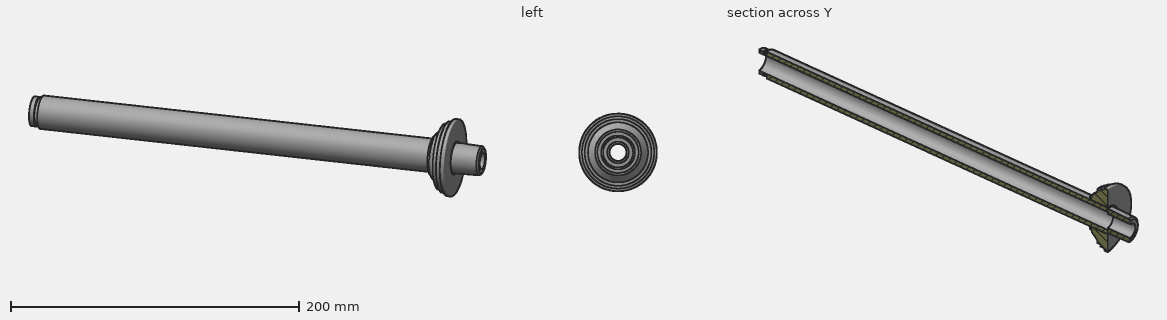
import cadquery as cq

TOTAL_LENGTH = 326.0
SEAL_START = 3.5
SHOULDER = 6.5
COLLAR_START = 290.0
FLANGE_START = 292.0
FLANGE_BACK = 306.5

BORE_RADIUS = 7.5
INLET_BORE_RADIUS = 6.0
OUTLET_RADIUS = 10.5
TUBE_RADIUS = 11.7
COLLAR_RADIUS = 14.5

SEAL_LENGTH = SHOULDER - SEAL_START
SEAL_INNER_RADIUS = OUTLET_RADIUS - SEAL_LENGTH / 2

INLET_ROOT_RADIUS = 10.8
INLET_TAPER = 0.5
INLET_TIP_RADIUS = INLET_ROOT_RADIUS - INLET_TAPER
INLET_CHAMFER = 1.3

COLLAR_ROUND = 1.0
CONE_TIP_RADIUS = 16.0
CONE_BASE_RADIUS = 21.0

RIM_RADIUS = 27.0
RIM_ROUND = 0.5
STEP_HEIGHT = 2.0
STEP_STARTS = (297.0, 300.0, 303.2)
STEP_ROUND = 1.0


def turned(points):
    """Solid of revolution about X from straight-sided (x, radius) points."""
    return cq.Workplane("XY").polyline(points).close().revolve(360, (0, 0, 0), (1, 0, 0))


def make_tube():
    """Bored tube whose outlet end is turned down to a short nipple with a groove for the seal ring."""
    return turned(
        [
            (0, BORE_RADIUS),
            (FLANGE_BACK, BORE_RADIUS),
            (FLANGE_BACK, TUBE_RADIUS),
            (SHOULDER, TUBE_RADIUS),
            (SHOULDER, SEAL_INNER_RADIUS),
            (SEAL_START, SEAL_INNER_RADIUS),
            (SEAL_START, OUTLET_RADIUS),
            (0, OUTLET_RADIUS),
        ]
    )


def make_seal_ring():
    """Ring with a flat seat and a half-round outside."""
    radius = SEAL_LENGTH / 2
    return (
        cq.Workplane("XY")
        .moveTo(SEAL_START, SEAL_INNER_RADIUS)
        .threePointArc((SEAL_START + radius, SEAL_INNER_RADIUS + radius), (SHOULDER, SEAL_INNER_RADIUS))
        .close()
        .revolve(360, (0, 0, 0), (1, 0, 0))
    )


def make_collar():
    """Plain ring on the tube against the flange, with a rounded outer front edge."""
    collar = turned(
        [
            (COLLAR_START, TUBE_RADIUS),
            (FLANGE_START, TUBE_RADIUS),
            (FLANGE_START, COLLAR_RADIUS),
            (COLLAR_START, COLLAR_RADIUS),
        ]
    )
    return collar.faces("<X").edges(cq.selectors.RadiusNthSelector(-1)).fillet(COLLAR_ROUND)


def make_flange():
    """Cone that widens into three stepped discs with a hollow rounding at each inner step and a rounded rim."""
    profile = (
        cq.Workplane("XY")
        .moveTo(FLANGE_START, TUBE_RADIUS)
        .lineTo(FLANGE_START, CONE_TIP_RADIUS)
        .lineTo(STEP_STARTS[0], CONE_BASE_RADIUS)
    )
    last = len(STEP_STARTS) - 1
    for index, start in enumerate(STEP_STARTS):
        radius = RIM_RADIUS - (last - index) * STEP_HEIGHT
        profile = profile.lineTo(start, radius)
        if index < last:
            next_start = STEP_STARTS[index + 1]
            profile = profile.lineTo(next_start - STEP_ROUND, radius).radiusArc(
                (next_start, radius + STEP_ROUND), -STEP_ROUND
            )
    profile = profile.lineTo(FLANGE_BACK, RIM_RADIUS).lineTo(FLANGE_BACK, TUBE_RADIUS).close()
    flange = profile.revolve(360, (0, 0, 0), (1, 0, 0))
    return flange.edges(cq.selectors.RadiusNthSelector(-1)).fillet(RIM_ROUND)


def make_inlet_nipple():
    """Narrow-bored tapered nipple that butts against the tube end at the back of the flange."""
    return turned(
        [
            (FLANGE_BACK, INLET_BORE_RADIUS),
            (TOTAL_LENGTH, INLET_BORE_RADIUS),
            (TOTAL_LENGTH, INLET_TIP_RADIUS - INLET_CHAMFER),
            (TOTAL_LENGTH - INLET_CHAMFER, INLET_TIP_RADIUS),
            (FLANGE_BACK, INLET_ROOT_RADIUS),
        ]
    )


tube = make_tube()
seal_ring = make_seal_ring()
collar = make_collar()
flange = make_flange()
inlet_nipple = make_inlet_nipple()

result = cq.Compound.makeCompound(
    [tube.val(), seal_ring.val(), collar.val(), flange.val(), inlet_nipple.val()]
)